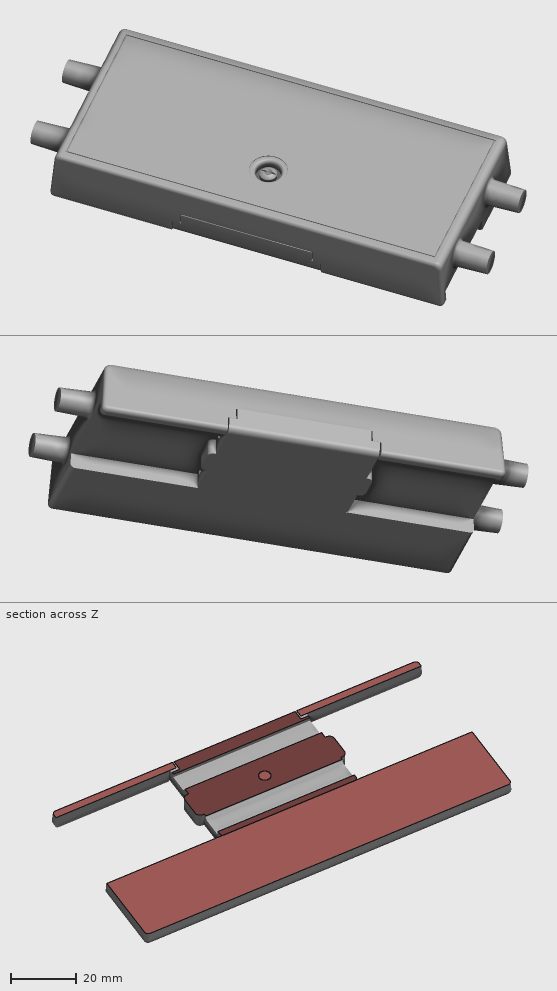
import cadquery as cq
import math

OVERALL_LENGTH = 150.0
HEIGHT = 18.0

HOUSING_LENGTH = 129.8
HOUSING_WIDTH = 59.8
DRAFT_ANGLE = 4.0
END_TOP_RADIUS = 2.2
SIDE_EDGE_RADIUS = 1.4
BOTTOM_RADIUS = 1.5

SPOUT_CENTRES_Y = (11.5, -15.5)
SPOUT_AXIS_Z = 10.5
SPOUT_TIP_DIAMETER = 7.5
SPOUT_DRAFT_ANGLE = 2.0
SPOUT_ROOT_X = 60.0
SPOUT_FILLET = 0.9

SHEET_LENGTH = 120.8
SHEET_WIDTH = 51.0
SHEET_THICKNESS = 0.3
SHEET_GAP = 0.5
SHEET_HOLE_DIAMETER = 12.0
SHEET_FLOOR_Z = HEIGHT - SHEET_THICKNESS

SCREW_Y = -10.6
WELL_DIAMETER = 8.0
WELL_MOUTH_DIAMETER = 10.4
WELL_MOUTH_RADIUS = (WELL_MOUTH_DIAMETER - WELL_DIAMETER) / 2
WELL_DEPTH = 3.0
SEAT_Z = HEIGHT - WELL_DEPTH
HEAD_DIAMETER = 5.4
HEAD_EDGE_HEIGHT = 1.5
HEAD_DOME_HEIGHT = 1.0
SHANK_DIAMETER = 3.6
SHANK_END_Z = 1.5
SLOT_WIDTH = 0.8
SLOT_DEPTH = 1.0
RECESS_TOP_DIAMETER = 3.0
RECESS_FLOOR_DIAMETER = 1.2

CHANNEL_BACK_Y = 4.6
CHANNEL_FRONT_Y = -26.8
CHANNEL_HEIGHT = 5.1

BASE_LENGTH = 48.3
BASE_CORNER_RADIUS = 0.8
BASE_FACE_Y = -29.5
BASE_BOTTOM_RADIUS = 2.1
SHOULDER_HEIGHT = 4.6
SHOULDER_BACK_Y = -26.0
TONGUE_LENGTH = 42.9
TONGUE_BACK_Y = -24.9
TONGUE_HEIGHT = 8.4
BASE_GAP = 0.5

GROOVE_FLOOR_Z = 3.5
GROOVE_BEVEL = 0.9
REAR_GROOVE_Y = (-4.8, 2.5)
FRONT_GROOVE_Y = (-24.9, -17.8)

PAD_WIDTH = 9.9
PAD_REACH = 2.2
PAD_CORNER_RADIUS = 1.8


def block(x_length, y_start, y_end, z_start, z_end):
    """Box centred on X = 0 between the given Y and Z limits."""
    return cq.Workplane("XY").box(
        x_length, y_end - y_start, z_end - z_start, centered=(True, False, False)
    ).translate((0, y_start, z_start))


def screw_axis_cylinder(diameter, z_start, z_end):
    """Upright cylinder on the screw axis."""
    return (
        cq.Workplane("XY", origin=(0, SCREW_Y, z_start))
        .circle(diameter / 2)
        .extrude(z_end - z_start)
    )


def make_shell():
    """Drafted block with rounded edges."""
    shell = (
        cq.Workplane("XY")
        .rect(HOUSING_LENGTH, HOUSING_WIDTH)
        .extrude(HEIGHT, taper=DRAFT_ANGLE)
    )
    shell = shell.faces(">Z").edges("|Y").fillet(END_TOP_RADIUS)
    for side in (">Y", "<Y"):
        shell = shell.faces(side).edges("not <Z").fillet(SIDE_EDGE_RADIUS)
    return shell.faces("<Z").edges().fillet(BOTTOM_RADIUS)


def make_spout(centre_y, direction):
    """Tapered cable spout pointing along +X or -X."""
    length = OVERALL_LENGTH / 2 - SPOUT_ROOT_X
    root_radius = SPOUT_TIP_DIAMETER / 2 + length * math.tan(math.radians(SPOUT_DRAFT_ANGLE))
    cone = cq.Solid.makeCone(
        root_radius,
        SPOUT_TIP_DIAMETER / 2,
        length,
        pnt=cq.Vector(direction * SPOUT_ROOT_X, centre_y, SPOUT_AXIS_Z),
        dir=cq.Vector(direction, 0, 0),
    )
    return cq.Workplane(obj=cone)


def add_spouts(shell):
    """Join four spouts to the shell and fillet them into its end walls."""
    for direction in (-1, 1):
        for centre_y in SPOUT_CENTRES_Y:
            shell = shell.union(make_spout(centre_y, direction))
            root_zone = cq.selectors.BoxSelector(
                (direction * SPOUT_ROOT_X, centre_y - SPOUT_TIP_DIAMETER, 0),
                (direction * HOUSING_LENGTH / 2, centre_y + SPOUT_TIP_DIAMETER, HEIGHT),
            )
            shell = shell.edges(root_zone).fillet(SPOUT_FILLET)
    return shell


def make_well():
    """Screw well with a rounded mouth, as the solid to be cut away."""
    bore = WELL_DIAMETER / 2
    mouth = WELL_MOUTH_DIAMETER / 2
    round_start_z = SHEET_FLOOR_Z - WELL_MOUTH_RADIUS
    diagonal = WELL_MOUTH_RADIUS * math.sqrt(0.5)
    return (
        cq.Workplane("XZ", origin=(0, SCREW_Y, 0))
        .moveTo(0, SEAT_Z)
        .lineTo(bore, SEAT_Z)
        .lineTo(bore, round_start_z)
        .threePointArc((mouth - diagonal, round_start_z + diagonal), (mouth, SHEET_FLOOR_Z))
        .lineTo(0, SHEET_FLOOR_Z)
        .close()
        .revolve(360, (0, 0, 0), (0, 1, 0))
    )


def make_housing():
    housing = add_spouts(make_shell())
    sheet_recess = (
        cq.Workplane("XY", origin=(0, 0, SHEET_FLOOR_Z))
        .rect(SHEET_LENGTH + 2 * SHEET_GAP, SHEET_WIDTH + 2 * SHEET_GAP)
        .extrude(SHEET_THICKNESS)
    )
    channel = block(HOUSING_LENGTH, CHANNEL_FRONT_Y, CHANNEL_BACK_Y, 0, CHANNEL_HEIGHT)
    shoulder_opening = block(
        BASE_LENGTH + 2 * BASE_GAP, -HOUSING_WIDTH / 2, SHOULDER_BACK_Y, 0, SHOULDER_HEIGHT
    )
    tongue_opening = block(
        TONGUE_LENGTH + 2 * BASE_GAP, -HOUSING_WIDTH / 2, TONGUE_BACK_Y, 0, TONGUE_HEIGHT
    )
    return (
        housing.cut(sheet_recess)
        .cut(make_well())
        .cut(channel)
        .cut(shoulder_opening)
        .cut(tongue_opening)
        .cut(screw_axis_cylinder(SHANK_DIAMETER, CHANNEL_HEIGHT, SEAT_Z))
    )


def make_sheet():
    """Thin cover sheet with a round hole over the screw well."""
    sheet = block(SHEET_LENGTH, -SHEET_WIDTH / 2, SHEET_WIDTH / 2, SHEET_FLOOR_Z, HEIGHT)
    return sheet.cut(screw_axis_cylinder(SHEET_HOLE_DIAMETER, SHEET_FLOOR_Z, HEIGHT))


def make_groove(y_limits, bevel_at_start):
    """Groove along the base, beveled at the foot of the wall next to the screw."""
    start, end = y_limits
    groove = block(BASE_LENGTH, start, end, GROOVE_FLOOR_Z, CHANNEL_HEIGHT)
    side = "<Y" if bevel_at_start else ">Y"
    return groove.faces("<Z").edges(side).chamfer(GROOVE_BEVEL)


def make_base():
    body = block(BASE_LENGTH, SHOULDER_BACK_Y, CHANNEL_BACK_Y, 0, CHANNEL_HEIGHT)
    shoulder = block(BASE_LENGTH, BASE_FACE_Y, SHOULDER_BACK_Y, 0, SHOULDER_HEIGHT)
    tongue = block(TONGUE_LENGTH, BASE_FACE_Y, TONGUE_BACK_Y, 0, TONGUE_HEIGHT)
    pads = block(
        BASE_LENGTH + 2 * PAD_REACH, SCREW_Y - PAD_WIDTH / 2, SCREW_Y + PAD_WIDTH / 2, 0, CHANNEL_HEIGHT
    ).edges("|Z").fillet(PAD_CORNER_RADIUS)
    base = body.union(shoulder).union(tongue)
    base = base.faces(">Y").edges("|Z").fillet(BASE_CORNER_RADIUS)
    base = base.faces("<Z").edges("<Y").fillet(BASE_BOTTOM_RADIUS)
    return (
        base.union(pads)
        .cut(make_groove(REAR_GROOVE_Y, bevel_at_start=True))
        .cut(make_groove(FRONT_GROOVE_Y, bevel_at_start=False))
        .cut(screw_axis_cylinder(SHANK_DIAMETER, SHANK_END_Z, CHANNEL_HEIGHT))
    )


def make_dome(edge_z):
    """Domed head: a short cylinder with a spherical cap rising from its edge."""
    radius = HEAD_DIAMETER / 2
    top_z = edge_z + HEAD_DOME_HEIGHT
    sphere_radius = (radius**2 + HEAD_DOME_HEIGHT**2) / (2 * HEAD_DOME_HEIGHT)
    sphere = cq.Workplane("XY", origin=(0, SCREW_Y, top_z - sphere_radius)).sphere(sphere_radius)
    return screw_axis_cylinder(HEAD_DIAMETER, SEAT_Z, top_z).intersect(sphere)


def make_screw():
    """Screw with a domed head, a slot across it and a conical recess in its centre."""
    edge_z = SEAT_Z + HEAD_EDGE_HEIGHT
    top_z = edge_z + HEAD_DOME_HEIGHT
    slot_floor_z = top_z - SLOT_DEPTH
    shank = screw_axis_cylinder(SHANK_DIAMETER, SHANK_END_Z, SEAT_Z)
    slot = block(
        HEAD_DIAMETER, SCREW_Y - SLOT_WIDTH / 2, SCREW_Y + SLOT_WIDTH / 2, slot_floor_z, top_z
    )
    recess = cq.Workplane(
        obj=cq.Solid.makeCone(
            RECESS_FLOOR_DIAMETER / 2,
            RECESS_TOP_DIAMETER / 2,
            SLOT_DEPTH,
            pnt=cq.Vector(0, SCREW_Y, slot_floor_z),
            dir=cq.Vector(0, 0, 1),
        )
    )
    return make_dome(edge_z).union(shank).cut(slot).cut(recess)


housing = make_housing().solids()
sheet = make_sheet().solids()
base = make_base().solids()
screw = make_screw().solids()

result = cq.Compound.makeCompound([housing.val(), sheet.val(), base.val(), screw.val()])